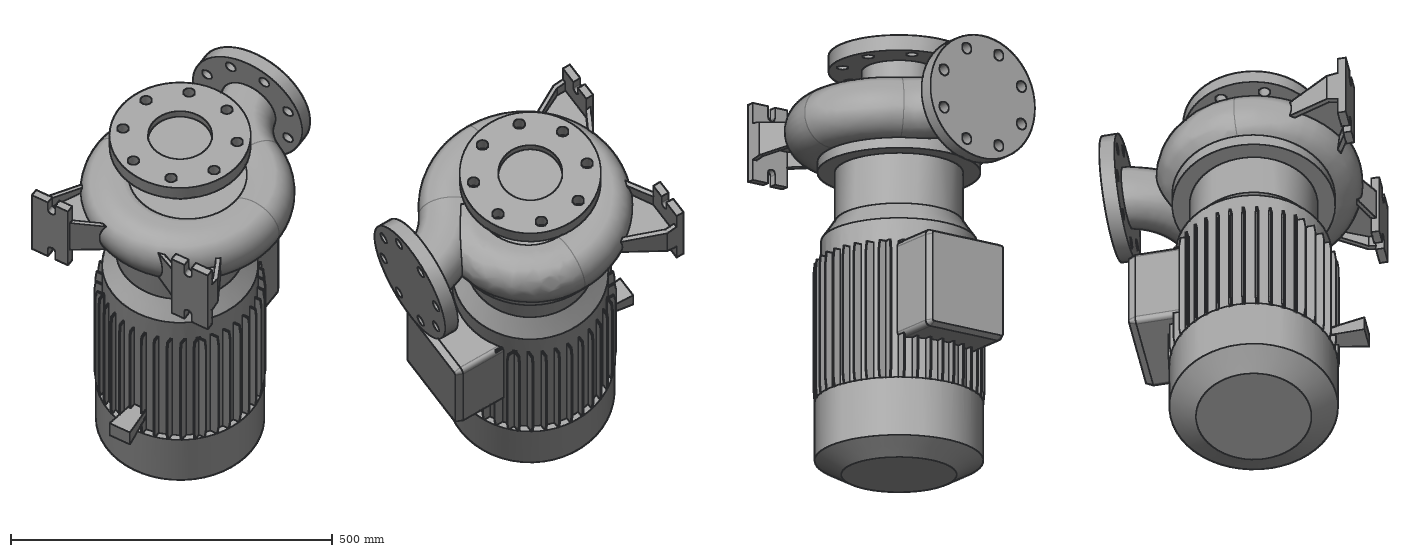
import cadquery as cq
import math


TOTAL_WIDTH = 341.0
TOTAL_DEPTH = 405.0
TOTAL_HEIGHT = 684.0

SUCTION_FACE_Z = 125.0
MOTOR_BOTTOM_Z = SUCTION_FACE_Z - TOTAL_HEIGHT
COLLAR_RADIUS = 127.0
COLLAR_TOP_Z = -20.0
COLLAR_BOTTOM_Z = -65.0
NECK_RADIUS = 100.0
NECK_BOTTOM_Z = -147.0
MOTOR_BODY_RADIUS = 121.5
CONE_BOTTOM_Z = -178.0
FIN_TOP_Z = -216.0
FIN_BOTTOM_Z = -441.5
FAN_COVER_RADIUS = 131.5
FAN_COVER_EDGE_Z = -536.0
FAN_COVER_BOTTOM_RADIUS = 90.0

SIDE_COUNT = 4
FINS_PER_SIDE = 10
FIN_PITCH = 360.0 / (SIDE_COUNT * FINS_PER_SIDE)
FIN_THICKNESS = 2.7
FIN_RADIUS = 133.5
FIN_END_RELIEF = 2.0
FIN_END_RELIEF_LENGTH = 17.0
FIN_ROOT_DEPTH = 25.0

BOX_WIDTH = 145.0
BOX_HEIGHT = 157.0
BOX_FACE_Y = 185.0
BOX_ROOT_Y = 90.0
BOX_CORNER_RADIUS = 8.5
BOX_BEVEL_DEPTH = 11.5
BOX_BEVEL_INSET = 5.2

DISCHARGE_FACE_Y = 225.0
PIPE_RADIUS = 48.25
TAIL_END_RADIUS = 45.0
VOLUTE_RIGHT_X = 180.5
VOLUTE_LEFT_X = -153.5
VOLUTE_START_X = VOLUTE_RIGHT_X - PIPE_RADIUS
VOLUTE_END_X = VOLUTE_LEFT_X + PIPE_RADIUS
VOLUTE_CENTER_X = (VOLUTE_START_X + VOLUTE_END_X) / 2
VOLUTE_RADIUS = (VOLUTE_START_X - VOLUTE_END_X) / 2
TAIL_ANGLE = 119.0
CORE_RADIUS = 100.0
CORE_TOP_Z = 40.5

FLANGE_HOLE_COUNT = 8
FLANGE_HOLE_DIAMETER = 18.0
SUCTION_FLANGE_DIAMETER = 220.0
SUCTION_FLANGE_THICKNESS = 25.0
SUCTION_BOLT_CIRCLE = 180.0
SUCTION_PIPE_DIAMETER = 116.0
SUCTION_BORE_DIAMETER = 100.0
SUCTION_BORE_DEPTH = 13.0
DISCHARGE_FLANGE_DIAMETER = 200.0
DISCHARGE_FLANGE_THICKNESS = 24.0
DISCHARGE_BOLT_CIRCLE = 160.0

FOOT_FACE_Y = DISCHARGE_FACE_Y - TOTAL_DEPTH
FOOT_THICKNESS = 13.0
FOOT_OUTER_X = VOLUTE_RIGHT_X - TOTAL_WIDTH
FOOT_WIDTH = 66.0
FOOT_INNER_X = FOOT_OUTER_X + FOOT_WIDTH
FOOT_HEIGHT = 126.0
FOOT_SLOT_X = -124.5
FOOT_SLOT_WIDTH = 13.0
FOOT_SLOT_DEPTH = 23.5
LEG_ROOT_Y = FOOT_FACE_Y + 5.0
LEG_SHOULDER_Y = -149.5
LEG_OUTER_END = (-110.0, -48.0)
LEG_INNER_END = (-20.0, -135.0)
LEG_WALL = 7.3
LEG_WEB_THICKNESS = 11.0
LEG_ROOT_HALF_HEIGHT = 31.5
LEG_DRAFT = 10.0

PEG_WIDTH = 37.0
PEG_HEIGHT = 28.0
PEG_CENTER_Z = -402.5
PEG_ROOT_Y = -118.0
PEG_TAPER_PER_MM = 0.2


def make_motor():
    """Collar, neck, cone, motor body and fan cover as one turned shape."""
    return (
        cq.Workplane("XZ")
        .moveTo(0, COLLAR_TOP_Z)
        .lineTo(COLLAR_RADIUS, COLLAR_TOP_Z)
        .lineTo(COLLAR_RADIUS, COLLAR_BOTTOM_Z)
        .lineTo(NECK_RADIUS, COLLAR_BOTTOM_Z)
        .lineTo(NECK_RADIUS, NECK_BOTTOM_Z)
        .lineTo(MOTOR_BODY_RADIUS, CONE_BOTTOM_Z)
        .lineTo(MOTOR_BODY_RADIUS, FIN_BOTTOM_Z)
        .lineTo(FAN_COVER_RADIUS, FIN_BOTTOM_Z)
        .lineTo(FAN_COVER_RADIUS, FAN_COVER_EDGE_Z)
        .lineTo(FAN_COVER_BOTTOM_RADIUS, MOTOR_BOTTOM_Z)
        .lineTo(0, MOTOR_BOTTOM_Z)
        .close()
        .revolve(360, (0, 0, 0), (0, 1, 0))
    )


def make_fin(angle):
    """Straight fin parallel to X at the given angle, with its outer tip corner on the fin circle."""
    offset = FIN_RADIUS * math.sin(angle)
    corner_offset = abs(offset) + FIN_THICKNESS / 2
    tip = math.sqrt(FIN_RADIUS**2 - corner_offset**2)
    end_tip = tip - FIN_END_RELIEF
    root = tip - FIN_ROOT_DEPTH
    return (
        cq.Workplane("XZ", origin=(0, offset, 0))
        .moveTo(root, FIN_TOP_Z)
        .lineTo(end_tip, FIN_TOP_Z)
        .lineTo(tip, FIN_TOP_Z - FIN_END_RELIEF_LENGTH)
        .lineTo(tip, FIN_BOTTOM_Z + FIN_END_RELIEF_LENGTH)
        .lineTo(end_tip, FIN_BOTTOM_Z)
        .lineTo(root, FIN_BOTTOM_Z)
        .close()
        .extrude(FIN_THICKNESS / 2, both=True)
    )


def make_fins():
    """Four groups of parallel fins, one group facing each side of the motor."""
    fins = cq.Workplane("XY")
    for index in range(FINS_PER_SIDE):
        angle = math.radians((index - (FINS_PER_SIDE - 1) / 2) * FIN_PITCH)
        fin = make_fin(angle)
        for side in range(SIDE_COUNT):
            fins.add(fin.rotate((0, 0, 0), (0, 0, 1), side * 360.0 / SIDE_COUNT))
    return fins


def make_terminal_box():
    """Terminal box with rounded edges and a bevelled cover, level with the fin tops."""
    center_z = FIN_TOP_Z - BOX_HEIGHT / 2
    bevel_start_y = BOX_FACE_Y - BOX_BEVEL_DEPTH
    outline = cq.Sketch().rect(BOX_WIDTH, BOX_HEIGHT).vertices().fillet(BOX_CORNER_RADIUS)
    bevel_angle = math.degrees(math.atan(BOX_BEVEL_INSET / BOX_BEVEL_DEPTH))

    def outline_plane(y):
        return cq.Workplane(cq.Plane((0, y, center_z), xDir=(-1, 0, 0), normal=(0, 1, 0)))

    body = outline_plane(BOX_ROOT_Y).placeSketch(outline).extrude(bevel_start_y - BOX_ROOT_Y)
    cover = outline_plane(bevel_start_y).placeSketch(outline).extrude(BOX_BEVEL_DEPTH, taper=bevel_angle)
    return body.union(cover)


def make_peg():
    """Rectangular support peg that widens evenly towards its tip."""
    length = PEG_ROOT_Y - FOOT_FACE_Y
    shrink = PEG_TAPER_PER_MM * length
    return (
        cq.Workplane(cq.Plane((0, FOOT_FACE_Y, PEG_CENTER_Z), xDir=(-1, 0, 0), normal=(0, 1, 0)))
        .rect(PEG_WIDTH, PEG_HEIGHT)
        .workplane(offset=length)
        .rect(PEG_WIDTH - shrink, PEG_HEIGHT - shrink)
        .loft(combine=True)
    )


def make_volute_lower():
    """Lower half of the scroll, a half torus about the scroll centre."""
    return (
        cq.Workplane("XZ")
        .center(VOLUTE_START_X, 0)
        .circle(PIPE_RADIUS)
        .revolve(180, (-VOLUTE_RADIUS, 0), (-VOLUTE_RADIUS, -1))
    )


def make_volute_tail():
    """Narrowing tail that turns about Z and ends inside the discharge bend."""
    path_radius = -VOLUTE_END_X
    turn = math.radians(TAIL_ANGLE)

    def on_path(angle):
        return (-path_radius * math.cos(angle), path_radius * math.sin(angle))

    path = cq.Workplane("XY").moveTo(*on_path(0)).threePointArc(on_path(turn / 2), on_path(turn))

    def section(angle, radius):
        outward = (-math.cos(angle), math.sin(angle), 0)
        forward = (math.sin(angle), math.cos(angle), 0)
        plane = cq.Plane((*on_path(angle), 0), xDir=outward, normal=forward)
        return cq.Workplane(plane).circle(radius)

    sections = cq.Workplane("XY").add(section(0, PIPE_RADIUS)).add(section(turn, TAIL_END_RADIUS))
    return sections.toPending().sweep(path, multisection=True)


def make_discharge_bend():
    """S-shaped pipe: the scroll arc, then a reverse arc that meets the flange squarely on X = 0."""
    reach = VOLUTE_RADIUS + VOLUTE_CENTER_X
    bend_radius = (DISCHARGE_FACE_Y**2 + VOLUTE_CENTER_X**2 - VOLUTE_RADIUS**2) / (2 * reach)
    join_angle = math.asin(DISCHARGE_FACE_Y / (VOLUTE_RADIUS + bend_radius))

    def on_scroll(angle):
        return (VOLUTE_CENTER_X + VOLUTE_RADIUS * math.cos(angle), VOLUTE_RADIUS * math.sin(angle))

    def on_bend(angle):
        return (bend_radius * (1 - math.cos(angle)), DISCHARGE_FACE_Y - bend_radius * math.sin(angle))

    path = (
        cq.Workplane("XY")
        .moveTo(*on_scroll(0))
        .threePointArc(on_scroll(join_angle / 2), on_scroll(join_angle))
        .threePointArc(on_bend(join_angle / 2), on_bend(0))
    )
    return cq.Workplane("XZ").center(VOLUTE_START_X, 0).circle(PIPE_RADIUS).sweep(path)


def make_volute_core():
    """Flat-topped disc that closes the middle of the scroll."""
    return (
        cq.Workplane("XY", origin=(VOLUTE_CENTER_X, 0, COLLAR_BOTTOM_Z))
        .circle(CORE_RADIUS)
        .extrude(CORE_TOP_Z - COLLAR_BOTTOM_Z)
    )


def make_flange(plane, diameter, thickness, bolt_circle):
    """Flange disc whose bolt holes straddle the centre lines; the plane lies on its outer face."""
    first_hole_angle = 180.0 / FLANGE_HOLE_COUNT
    holes = (
        cq.Workplane(plane)
        .polarArray(bolt_circle / 2, first_hole_angle, 360, FLANGE_HOLE_COUNT)
        .circle(FLANGE_HOLE_DIAMETER / 2)
        .extrude(-thickness)
    )
    return cq.Workplane(plane).circle(diameter / 2).extrude(-thickness).cut(holes)


def make_suction_inlet():
    """Suction flange and pipe with a shallow round recess in the face."""
    face = cq.Plane((0, 0, SUCTION_FACE_Z))
    flange = make_flange(face, SUCTION_FLANGE_DIAMETER, SUCTION_FLANGE_THICKNESS, SUCTION_BOLT_CIRCLE)
    pipe = cq.Workplane(face).circle(SUCTION_PIPE_DIAMETER / 2).extrude(-SUCTION_FACE_Z)
    recess = cq.Workplane(face).circle(SUCTION_BORE_DIAMETER / 2).extrude(-SUCTION_BORE_DEPTH)
    return flange.union(pipe).cut(recess)


def make_discharge_flange():
    """Discharge flange facing +Y at the end of the bend."""
    face = cq.Plane((0, DISCHARGE_FACE_Y, 0), xDir=(-1, 0, 0), normal=(0, 1, 0))
    return make_flange(
        face, DISCHARGE_FLANGE_DIAMETER, DISCHARGE_FLANGE_THICKNESS, DISCHARGE_BOLT_CIRCLE
    )


def make_foot_plate():
    """Left foot plate with a round-ended slot open at the top and at the bottom."""
    plate = cq.Workplane("XY").box(FOOT_WIDTH, FOOT_THICKNESS, FOOT_HEIGHT).translate(
        (FOOT_OUTER_X + FOOT_WIDTH / 2, FOOT_FACE_Y + FOOT_THICKNESS / 2, 0)
    )
    slots = (
        cq.Workplane("XZ", origin=(0, FOOT_FACE_Y, 0))
        .pushPoints([(FOOT_SLOT_X, FOOT_HEIGHT / 2), (FOOT_SLOT_X, -FOOT_HEIGHT / 2)])
        .slot2D(2 * FOOT_SLOT_DEPTH, FOOT_SLOT_WIDTH, 90)
        .extrude(-FOOT_THICKNESS)
    )
    return plate.cut(slots)


def make_leg():
    """Left leg: two drafted side walls joined by a central web, running into the scroll."""
    corners = [
        (FOOT_OUTER_X, LEG_ROOT_Y),
        (FOOT_OUTER_X, LEG_SHOULDER_Y),
        LEG_OUTER_END,
        LEG_INNER_END,
        (FOOT_INNER_X, LEG_ROOT_Y),
    ]
    prism = cq.Workplane("XY").polyline(corners).close().extrude(LEG_ROOT_HALF_HEIGHT, both=True)
    pocket_height = LEG_ROOT_HALF_HEIGHT - LEG_WEB_THICKNESS / 2
    pocket = cq.Workplane("XY").polyline(corners).close().offset2D(-LEG_WALL).extrude(pocket_height)
    upper_pocket = pocket.translate((0, 0, LEG_WEB_THICKNESS / 2))
    lower_pocket = pocket.translate((0, 0, -LEG_ROOT_HALF_HEIGHT))

    leg_end_y = LEG_OUTER_END[1]
    drop = (leg_end_y - LEG_ROOT_Y) * math.tan(math.radians(LEG_DRAFT))
    end_half_height = LEG_ROOT_HALF_HEIGHT - drop
    wedge = (
        cq.Workplane("YZ", origin=(FOOT_OUTER_X, 0, 0))
        .moveTo(LEG_ROOT_Y, -LEG_ROOT_HALF_HEIGHT)
        .lineTo(leg_end_y, -end_half_height)
        .lineTo(leg_end_y, end_half_height)
        .lineTo(LEG_ROOT_Y, LEG_ROOT_HALF_HEIGHT)
        .close()
        .extrude(-FOOT_OUTER_X)
    )
    return prism.cut(upper_pocket).cut(lower_pocket).intersect(wedge)


def make_pump():
    """Join the motor, its attachments, the volute and both feet into one solid."""
    left_foot = make_foot_plate().union(make_leg())
    parts = [
        make_terminal_box(),
        make_peg(),
        make_volute_core(),
        make_volute_lower(),
        make_volute_tail(),
        make_discharge_bend(),
        make_discharge_flange(),
        make_suction_inlet(),
        left_foot,
        left_foot.mirror("YZ"),
    ]
    pump = make_motor().union(make_fins())
    for part in parts:
        pump = pump.union(part)
    return pump


result = make_pump()